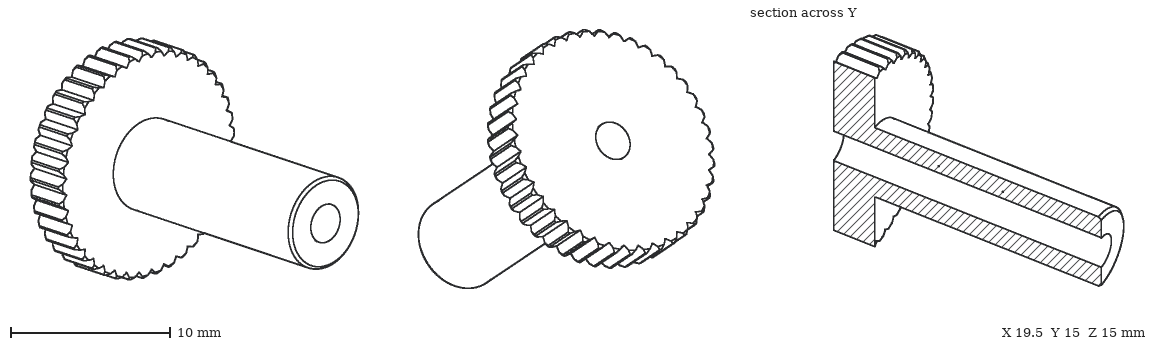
import cadquery as cq
import math

head_diameter = 15.0
head_thickness = 3.0
head_chamfer = 0.2

tooth_count = 41
groove_depth = 0.5
groove_angle = 92.0
groove_overcut = 0.3
first_tooth_angle = 180.0

shank_diameter = 6.0
shank_length = 16.5
shank_chamfer = 0.2

bore_diameter = 2.5

total_length = head_thickness + shank_length
tooth_pitch = 360.0 / tooth_count


def make_head():
    """Plain disc with both rim edges chamfered."""
    disc = cq.Workplane("YZ").circle(head_diameter / 2).extrude(head_thickness)
    return disc.edges("%CIRCLE").chamfer(head_chamfer)


def make_groove(angle):
    """V-shaped cutter through the rim at an angle measured from +Y towards +Z."""
    root_radius = head_diameter / 2 - groove_depth
    cutter_height = groove_depth + groove_overcut
    half_width = cutter_height * math.tan(math.radians(groove_angle / 2))
    outer_radius = root_radius + cutter_height
    profile = [
        (root_radius, 0),
        (outer_radius, -half_width),
        (outer_radius, half_width),
    ]
    cutter = cq.Workplane("YZ").polyline(profile).close().extrude(head_thickness)
    return cutter.rotate((0, 0, 0), (1, 0, 0), angle)


def cut_knurl(head):
    """Cut one groove midway between each pair of neighbouring teeth."""
    for index in range(tooth_count):
        angle = first_tooth_angle + (index + 0.5) * tooth_pitch
        head = head.cut(make_groove(angle))
    return head


def make_shank():
    """Cylinder from the outer head face to the chamfered free end."""
    shank = cq.Workplane("YZ").circle(shank_diameter / 2).extrude(total_length)
    return shank.faces(">X").chamfer(shank_chamfer)


def make_bore():
    """Cylinder that opens the part from end to end."""
    return cq.Workplane("YZ").circle(bore_diameter / 2).extrude(total_length)


knurled_head = cut_knurl(make_head())
result = knurled_head.union(make_shank()).cut(make_bore())